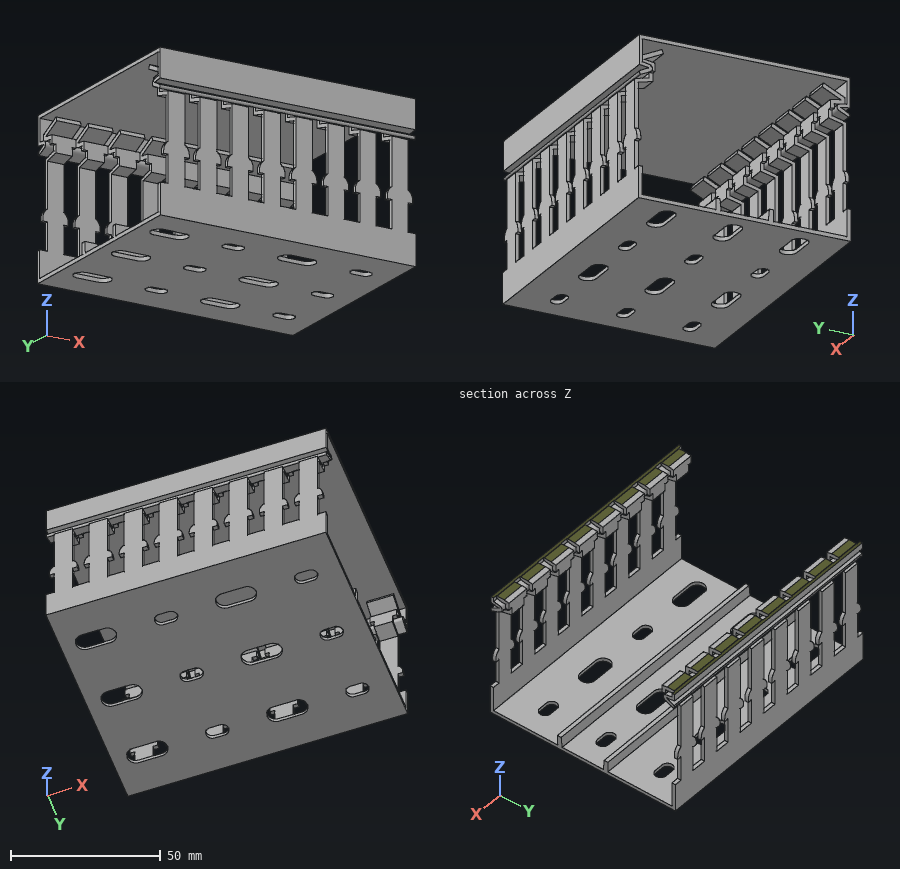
import cadquery as cq
import math

LENGTH = 100.0
HEIGHT = 60.0
DUCT_WIDTH = 80.1
DUCT_HALF = DUCT_WIDTH / 2
WALL = 1.5
WALL_INNER = DUCT_HALF - WALL
SIDES = (1, -1)

FINGER_COUNT = 8
PITCH = LENGTH / FINGER_COUNT
FINGER_WIDTH = 6.5
CLIP_WIDTH = 9.5
WALL_TOP = 11.8
SHOULDER_Z = 44.8
BARB_BOTTOM = 22.2
BARB_SIDE_TOP = 23.4
BARB_TOP = 26.8
BARB_HALF = 5.0

RECESS_INNER = 33.1
RECESS_OUTER = 34.5
RECESS_FLOOR_INNER_Z = 46.2
LEDGE_INNER_Z = 45.1
LEDGE_OUTER_Z = 43.8
CLIP_Z = 48.2
RECESS_ROOF = ((RECESS_OUTER, 50.0), (36.3, 50.1))
KNEE_BOTTOM = 50.7
KNEE_TOP = 53.0
TONGUE_TIP = ((30.4, 56.8), (29.9, 55.3))
TONGUE_ROOT = (37.0, 51.9)
CLIP_SHOULDER_Z = 51.3

RIB_INNER = 8.9
RIB_WIDTH = 2.0
RIB_TOP = 5.7
RIB_DRAFT = 0.4
LONG_SLOT_WIDTH = 6.2
LONG_SLOT = 14.3
SHORT_SLOT_WIDTH = 4.5
SHORT_SLOT = 8.0
FLOOR_SLOT_PITCH = 25.0
FLOOR_SLOT_COLUMNS = 4
FLOOR_SLOT_ROWS = 3

COVER_HALF = 39.7
COVER_WALL = 1.2
COVER_INNER = COVER_HALF - COVER_WALL
COVER_SIDE_BOTTOM = 48.9
GROOVE_POINT = (36.2, 48.4)
LIP_NOSE = ((35.4, 47.1), (34.8, 48.4), (35.7, 49.6))
LIP_TIP = ((39.5, 46.7), (39.7, 46.1), (39.2, 45.4))
LIP_ROOT_Z = 50.1


def extrude_x(points, x_start, length):
    """Extrude a closed (Y, Z) outline along +X."""
    return cq.Workplane("YZ", origin=(x_start, 0, 0)).polyline(points).close().extrude(length)


def on_side(points, side):
    """Place a (Y, Z) outline on the +Y or the -Y side."""
    return [(side * y, z) for y, z in points]


def channel():
    """U-shaped floor and low walls that run the whole length."""
    outline = [
        (-DUCT_HALF, 0), (DUCT_HALF, 0), (DUCT_HALF, WALL_TOP), (WALL_INNER, WALL_TOP),
        (WALL_INNER, WALL), (-WALL_INNER, WALL), (-WALL_INNER, WALL_TOP), (-DUCT_HALF, WALL_TOP),
    ]
    return extrude_x(outline, 0, LENGTH)


def floor_rib(side):
    """Rail along the floor, with a leaning face towards the middle."""
    rib_outer = RIB_INNER + RIB_WIDTH
    outline = [
        (RIB_INNER, 0), (RIB_INNER, WALL), (RIB_INNER + RIB_DRAFT, RIB_TOP),
        (rib_outer, RIB_TOP), (rib_outer, 0),
    ]
    return extrude_x(on_side(outline, side), 0, LENGTH)


def floor_slots():
    """Cutters for the mounting slots: long and short columns alternate."""
    cutters = cq.Workplane("XY")
    for column in range(FLOOR_SLOT_COLUMNS):
        x = (column + 0.5) * FLOOR_SLOT_PITCH
        is_long = column % 2 == 0
        slot_length = LONG_SLOT if is_long else SHORT_SLOT
        slot_width = LONG_SLOT_WIDTH if is_long else SHORT_SLOT_WIDTH
        for row in range(FLOOR_SLOT_ROWS):
            y = (row - (FLOOR_SLOT_ROWS - 1) / 2) * FLOOR_SLOT_PITCH
            cutters = cutters.add(
                cq.Workplane("XY").center(x, y).slot2D(slot_length, slot_width).extrude(WALL)
            )
    return cutters.combine()


def finger_barbs(x_center, side):
    """Rounded barbs on both edges of a finger, as one plate through the wall thickness."""
    half = FINGER_WIDTH / 2
    rise = BARB_TOP - BARB_SIDE_TOP
    overhang = BARB_HALF - half
    radius = (overhang**2 + rise**2) / (2 * overhang)
    mid_angle = math.asin(rise / radius) / 2
    mid_x = BARB_HALF - radius * (1 - math.cos(mid_angle))
    mid_z = BARB_SIDE_TOP + radius * math.sin(mid_angle)
    plate_front = WALL_INNER if side < 0 else -DUCT_HALF
    return (
        cq.Workplane("XZ", origin=(x_center, 0, 0))
        .workplane(offset=plate_front)
        .moveTo(-BARB_HALF, BARB_BOTTOM)
        .lineTo(BARB_HALF, BARB_BOTTOM)
        .lineTo(BARB_HALF, BARB_SIDE_TOP)
        .threePointArc((mid_x, mid_z), (half, BARB_TOP))
        .lineTo(-half, BARB_TOP)
        .threePointArc((-mid_x, mid_z), (-BARB_HALF, BARB_SIDE_TOP))
        .close()
        .extrude(WALL)
    )


def finger(x_center, side):
    """One wall finger: upright with barbs, lower half of the recess, and spring clip."""
    upright = [
        (DUCT_HALF, WALL_TOP), (DUCT_HALF, SHOULDER_Z),
        (RECESS_OUTER, RECESS_FLOOR_INNER_Z), (RECESS_OUTER, CLIP_Z),
        (RECESS_INNER, CLIP_Z), (RECESS_INNER, LEDGE_INNER_Z),
        (WALL_INNER, LEDGE_OUTER_Z), (WALL_INNER, WALL_TOP),
    ]
    clip = [
        (RECESS_INNER, CLIP_Z), (RECESS_OUTER, CLIP_Z), *RECESS_ROOF,
        (COVER_INNER, KNEE_BOTTOM), (COVER_INNER, KNEE_TOP),
        *TONGUE_TIP, TONGUE_ROOT, (RECESS_INNER, CLIP_SHOULDER_Z),
    ]
    body = extrude_x(on_side(upright, side), x_center - FINGER_WIDTH / 2, FINGER_WIDTH)
    body = body.union(extrude_x(on_side(clip, side), x_center - CLIP_WIDTH / 2, CLIP_WIDTH))
    return body.union(finger_barbs(x_center, side))


def make_duct():
    duct = channel()
    for side in SIDES:
        duct = duct.union(floor_rib(side))
        for index in range(FINGER_COUNT):
            duct = duct.union(finger((index + 0.5) * PITCH, side))
    return duct.cut(floor_slots())


def cover_top():
    outline = [
        (-COVER_HALF, HEIGHT), (COVER_HALF, HEIGHT),
        (COVER_HALF, HEIGHT - WALL), (-COVER_HALF, HEIGHT - WALL),
    ]
    return extrude_x(outline, 0, LENGTH)


def cover_skirt(side):
    """Side skirt folded into a lip that snaps into the duct recess."""
    tip_start, tip_middle, tip_end = on_side(LIP_TIP, side)
    nose_start, nose_middle, nose_end = on_side(LIP_NOSE, side)
    return (
        cq.Workplane("YZ")
        .moveTo(side * COVER_HALF, HEIGHT)
        .lineTo(side * COVER_HALF, COVER_SIDE_BOTTOM)
        .lineTo(side * GROOVE_POINT[0], GROOVE_POINT[1])
        .lineTo(*tip_start)
        .threePointArc(tip_middle, tip_end)
        .lineTo(*nose_start)
        .threePointArc(nose_middle, nose_end)
        .lineTo(side * COVER_INNER, LIP_ROOT_Z)
        .lineTo(side * COVER_INNER, HEIGHT)
        .close()
        .extrude(LENGTH)
    )


def make_cover():
    cover = cover_top()
    for side in SIDES:
        cover = cover.union(cover_skirt(side))
    return cover


duct = make_duct()
cover = make_cover()
result = cq.Compound.makeCompound([duct.solids().val(), cover.solids().val()])